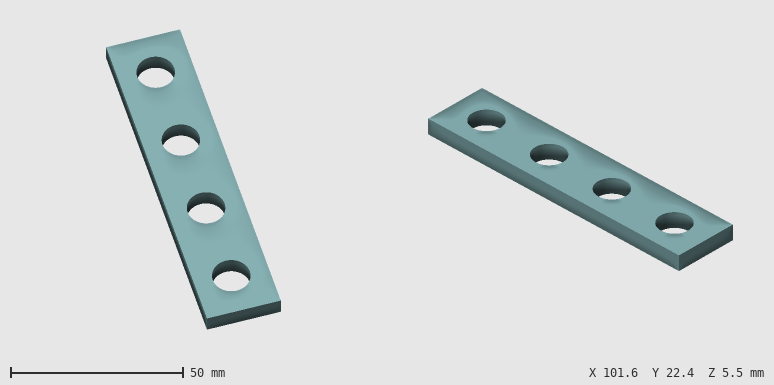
import cadquery as cq

length = 101.6
width = 22.4
thickness = 5.5

hole_count = 4
hole_diameter = 11.2
hole_pitch = length / hole_count

bar = cq.Workplane("XY").box(length, width, thickness)

result = (
    bar.faces(">Z")
    .workplane()
    .rarray(hole_pitch, width, hole_count, 1)
    .hole(hole_diameter)
)